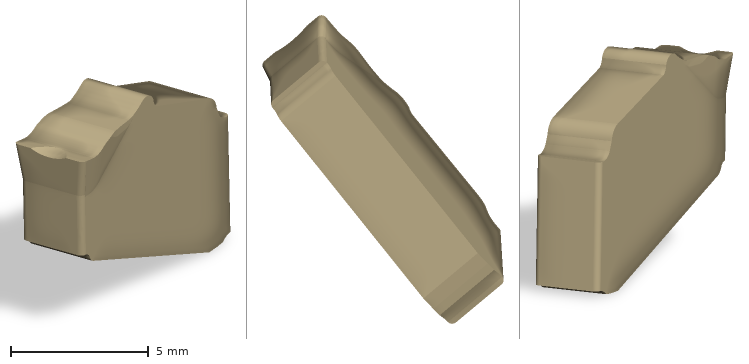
import cadquery as cq
import math

LENGTH = 10.25
FRONT_Y = -LENGTH / 2
BACK_Y = LENGTH / 2
HALF_WIDTH = 1.317
CORNER_RADIUS = 0.22

CORNER_OVERSHOOT = 0.1

FRONT_FOOT = (-4.86, 3.27)
FRONT_BREAK = (-4.93, 5.71)
BACK_FOOT = (BACK_Y, 0.25)
BACK_TOP = (4.96, 5.0)

EDGE_Z = 7.21
HEAD_BASE_Z = 5.62
FLARE_SLOPE = 0.12
FLARE_HEIGHT = 3.08
FLARE_START = (-1.47, 7.5)
FLARE_BEND = (-3.71, 5.89)
FLARE_BEND_MID = (-4.04, 5.7)
FLARE_BEND_END = (-4.48, HEAD_BASE_Z)
MARGIN = 1.02

RELIEF_START = (HALF_WIDTH, -1.47)
RELIEF_MID = (1.35, -2.31)
RELIEF_END = (1.47, -3.2)

GROOVE_HALF_CHORD = 0.77
GROOVE_DEPTH = 0.18
GROOVE_END_Y = -4.41
GROOVE_END_Z = 7.11


def side_profile(half_width):
    """Side outline extruded symmetrically about the mid-plane."""
    return (
        cq.Workplane("YZ")
        .moveTo(FRONT_Y, EDGE_Z)
        .lineTo(*FRONT_BREAK)
        .lineTo(*FRONT_FOOT)
        .lineTo(-4.64, FRONT_FOOT[1])
        .threePointArc((-4.48, 3.19), (-4.4, 3.06))
        .threePointArc((-4.32, 2.93), (-4.19, 2.83))
        .lineTo(3.58, 0)
        .lineTo(4.12, 0.01)
        .lineTo(4.47, 0.04)
        .threePointArc((4.7, 0.18), (4.92, BACK_FOOT[1]))
        .lineTo(*BACK_FOOT)
        .lineTo(*BACK_TOP)
        .lineTo(4.7, BACK_TOP[1])
        .threePointArc((4.41, 5.09), (4.21, 5.3))
        .lineTo(4.06, 5.64)
        .threePointArc((3.9, 6.0), (3.61, 6.19))
        .lineTo(0.05, 7.33)
        .threePointArc((-0.07, 7.45), (-0.14, 7.67))
        .threePointArc((-0.58, 8.0), (-0.89, 7.91))
        .threePointArc((-1.16, 7.75), (-1.47, 7.61))
        .threePointArc((-1.62, 7.55), (-1.78, 7.53))
        .lineTo(-2.84, 7.53)
        .threePointArc((-3.01, 7.51), (-3.18, 7.47))
        .lineTo(-3.56, 7.36)
        .lineTo(-3.71, 7.29)
        .threePointArc((-4.03, 7.14), (GROOVE_END_Y, GROOVE_END_Z))
        .lineTo(-4.93, 7.19)
        .close()
        .extrude(half_width, both=True)
    )


def flare_wire(half_width, lift):
    """Closed outline of the region above the head's lower boundary raised by lift."""
    def raised(point):
        return (point[0], point[1] + lift)

    top = EDGE_Z + FLARE_HEIGHT + MARGIN
    return (
        cq.Workplane("YZ", origin=(half_width, 0, 0))
        .moveTo(*raised(FLARE_START))
        .lineTo(*raised(FLARE_BEND))
        .threePointArc(raised(FLARE_BEND_MID), raised(FLARE_BEND_END))
        .lineTo(FRONT_Y - MARGIN, HEAD_BASE_Z + lift)
        .lineTo(FRONT_Y - MARGIN, top)
        .lineTo(FLARE_START[0], top)
        .close()
        .val()
    )


def relieved_plan():
    """Vertical block whose plan keeps the material inside the relief arc."""
    outer = HALF_WIDTH + MARGIN
    return (
        cq.Workplane("XY")
        .moveTo(0, RELIEF_START[1])
        .lineTo(*RELIEF_START)
        .threePointArc(RELIEF_MID, RELIEF_END)
        .lineTo(outer, RELIEF_END[1])
        .lineTo(outer, FRONT_Y - MARGIN)
        .lineTo(0, FRONT_Y - MARGIN)
        .close()
        .extrude(EDGE_Z + FLARE_HEIGHT)
    )


def head_flare():
    """Flared side of the head on +X, outside the plain body."""
    outer = HALF_WIDTH + FLARE_HEIGHT * FLARE_SLOPE
    wires = [flare_wire(HALF_WIDTH, 0), flare_wire(outer, FLARE_HEIGHT)]
    flare = cq.Workplane(cq.Solid.makeLoft(wires, True))
    return flare.intersect(side_profile(outer + MARGIN)).intersect(relieved_plan())


def rake_groove():
    """Cylinder that hollows the rake face, running down toward the cutting edge."""
    radius = (GROOVE_HALF_CHORD**2 + GROOVE_DEPTH**2) / (2 * GROOVE_DEPTH)
    run = GROOVE_END_Y - FRONT_Y
    rise = GROOVE_END_Z - (EDGE_Z - GROOVE_DEPTH)
    length = math.hypot(run, rise)
    direction = cq.Vector(0, run / length, rise / length)
    normal = cq.Vector(0, -rise / length, run / length)
    bottom = cq.Vector(0, FRONT_Y, EDGE_Z - GROOVE_DEPTH)
    start = bottom + normal * radius - direction * MARGIN
    return cq.Workplane(cq.Solid.makeCylinder(radius, length + MARGIN, start, direction))


def corner_section(x, y, z, inward):
    """Horizontal section of the waste at a corner; inward is the Y direction into the part."""
    radius = CORNER_RADIUS
    bulge = radius * (1 - math.sqrt(0.5))
    return (
        cq.Workplane("XY", origin=(x, y, z))
        .moveTo(-radius, 0)
        .threePointArc((-bulge, inward * bulge), (0, inward * radius))
        .lineTo(CORNER_OVERSHOOT, inward * radius)
        .lineTo(CORNER_OVERSHOOT, -inward * CORNER_OVERSHOOT)
        .lineTo(-radius, -inward * CORNER_OVERSHOOT)
        .close()
        .val()
    )


def corner_waste(lower, upper, inward):
    """Waste that rounds the corner running between two points."""
    sections = [corner_section(*lower, inward), corner_section(*upper, inward)]
    return cq.Workplane(cq.Solid.makeLoft(sections, True))


edge_half_width = HALF_WIDTH + (EDGE_Z - HEAD_BASE_Z) * FLARE_SLOPE
front_foot = (HALF_WIDTH, *FRONT_FOOT)
front_break = (HALF_WIDTH, *FRONT_BREAK)
edge_corner = (edge_half_width, FRONT_Y, EDGE_Z)
back_foot = (HALF_WIDTH, *BACK_FOOT)
back_top = (HALF_WIDTH, *BACK_TOP)

flare = head_flare()
result = side_profile(HALF_WIDTH).union(flare).union(flare.mirror("YZ"))
for waste in (
    corner_waste(front_foot, front_break, 1),
    corner_waste(front_break, edge_corner, 1),
    corner_waste(back_foot, back_top, -1),
):
    result = result.cut(waste).cut(waste.mirror("YZ"))
result = result.cut(rake_groove())